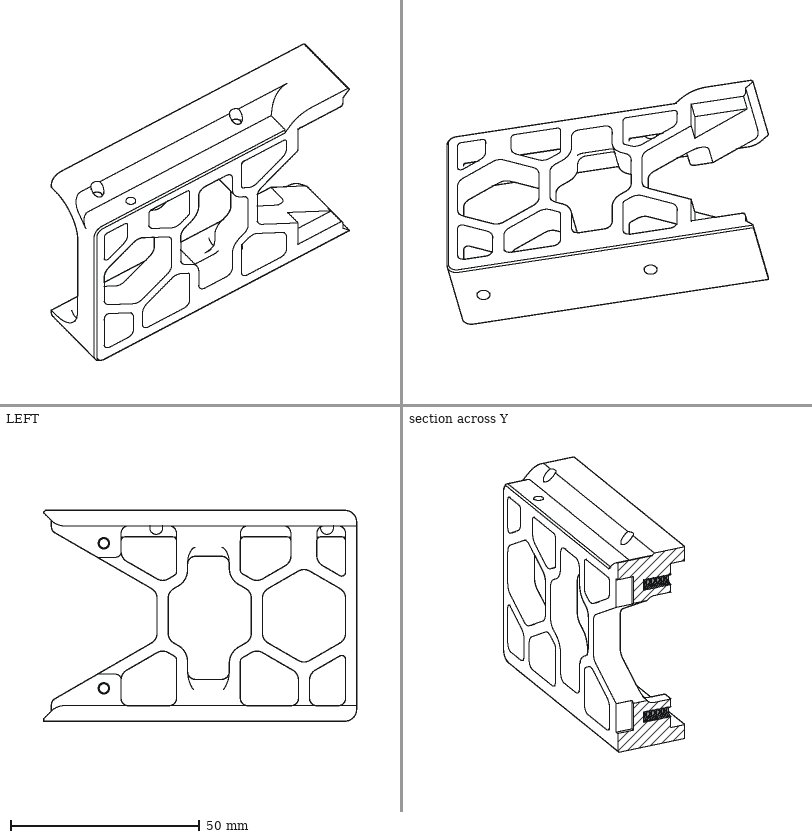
import cadquery as cq
import math

DEPTH = 20.0
LENGTH = 83.05
HALF_HEIGHT = 28.0
OVERSIZE = 5.0
PICK_MARGIN = 0.1

SLANT = math.sqrt(0.5)
HALF_ARC = math.radians(22.5)

FLANGE_INNER_Z = 23.83
WEB_X = 12.0
CHANNEL_RADIUS = 10.0
FRONT_EDGE_RADIUS = 3.2
BACK_CHAMFER = 0.5

TAIL_Y = 81.05
TAIL_RADIUS = 2.0
TIP_CURVE_RADIUS = 5.0
TOP_TIP_CHAMFER = 0.5

WALL = 3.0
HEX_FLATS = 22.0
HEX_PITCH = HEX_FLATS + WALL
HEX_CORNER_Z = HEX_FLATS / math.sqrt(3) / 2
HEX_RADIUS = 3.0
ROW_RISE = HEX_PITCH * math.sqrt(3) / 2
HEX_SLOPE = math.tan(math.radians(30))
FRONT_HEX_Y = WALL + HEX_FLATS / 2
MIDDLE_HEX_Y = FRONT_HEX_Y + HEX_PITCH
REAR_HEX_Y = MIDDLE_HEX_Y + HEX_PITCH
CELL_CORNER_RADIUS = 1.0
CELL_FLANGE_RADIUS = 1.9

SLOT_WIDTH = 11.0
SLOT_Y = 39.35
TOP_SLOT_END_Z = 15.75
BOTTOM_SLOT_END_Z = -16.85
SLOT_CORNER_RADIUS = 2.0
SLOT_NECK_RADIUS = 5.0
TOP_SLOT_RAMP_X = 13.4
BOTTOM_SLOT_RAMP_X = 13.0
SLOT_RAMP_START_X = 9.0
SLOT_RAMP_RADIUS = 2.5
SLOT_BACK_ANGLE = 30.0
FRAME_FRONT_Y = SLOT_Y - SLOT_WIDTH / 2 - WALL
FRAME_REAR_Y = SLOT_Y + SLOT_WIDTH / 2 + WALL

BOTTOM_RIB_YS = (FRONT_HEX_Y - WALL / 2, FRONT_HEX_Y + WALL / 2)
TOP_RIB_YS = (10.57, 17.5)

GROOVE_EDGE_X = 9.1
GROOVE_DEPTH = 4.0
GROOVE_REAR_Y = 70.6
GROOVE_RUNOUT_RADIUS = 10.0
GROOVE_FRONT_RADIUS = 2.6

ROOF_Z = 20.9
ROOF_X = 12.4

PAD_X = 4.13
PAD_FRONT_Y = 62.5
PAD_INNER_Z = 15.5
PAD_CORNER_RADIUS = 1.5
PAD_FILLET = 3.0
PAD_HOLE_Y = 67.1
PAD_HOLE_Z = 19.24
PAD_THREAD_MINOR = 2.46
PAD_THREAD_MAJOR = 3.0
PAD_THREAD_PITCH = 0.5
PAD_THREAD_TURNS = 16

BACK_STEP_X = 15.3
BACK_STEP_FRONT_Y = 66.3
BACK_STEP_HALF_HEIGHT = 22.3

SCREW_DIAMETER = 3.4
SCREW_X = 10.0
SCREW_YS = (7.9, 53.2)
PIN_DIAMETER = 2.6
PIN_X = 16.5
PIN_Y = 14.15
PIN_DEPTH = 8.0


def box(x0, x1, y0, y1, z0, z1):
    block = cq.Workplane("XY").box(x1 - x0, y1 - y0, z1 - z0, centered=False)
    return block.translate((x0, y0, z0))


def mirror_z(shape):
    return shape.mirror("XY")


def rounded_prism(corners, x0=-OVERSIZE, x1=DEPTH + OVERSIZE):
    """Extrude along X a polygon whose corners are (y, z, fillet radius)."""
    path = None
    for index, (y, z, radius) in enumerate(corners):
        here = cq.Vector(y, z)
        before = cq.Vector(*corners[index - 1][:2])
        after = cq.Vector(*corners[(index + 1) % len(corners)][:2])
        to_before = (before - here).normalized()
        to_after = (after - here).normalized()
        half_angle = to_before.getAngle(to_after) / 2
        setback = radius / math.tan(half_angle)
        start = (here + to_before * setback).toTuple()[:2]
        if path is None:
            path = cq.Workplane("YZ", origin=(x0, 0, 0)).moveTo(*start)
        else:
            path = path.lineTo(*start)
        if radius > 0:
            bisector = (to_before + to_after).normalized()
            middle = here + bisector * (radius / math.sin(half_angle) - radius)
            end = here + to_after * setback
            path = path.threePointArc(middle.toTuple()[:2], end.toTuple()[:2])
    return path.close().extrude(x1 - x0)


def outer_block():
    """Plain block with rounded front edges, spanning the overall size."""
    block = box(0, DEPTH, 0, LENGTH, -HALF_HEIGHT, HALF_HEIGHT)
    return block.edges("|X and <Y").fillet(FRONT_EDGE_RADIUS)


def groove():
    """Top groove: 45 degree side, curved runout at the rear and a rounded front edge."""
    floor_z = HALF_HEIGHT - GROOVE_DEPTH
    runout_y = GROOVE_REAR_Y - GROOVE_RUNOUT_RADIUS * SLANT
    runout_z = HALF_HEIGHT - GROOVE_RUNOUT_RADIUS * (1 - SLANT)
    runout_middle = (
        GROOVE_REAR_Y - GROOVE_RUNOUT_RADIUS * math.sin(HALF_ARC),
        HALF_HEIGHT - GROOVE_RUNOUT_RADIUS * (1 - math.cos(HALF_ARC)),
    )
    front_setback = GROOVE_FRONT_RADIUS * (1 - SLANT)
    profile = (
        cq.Workplane("YZ")
        .moveTo(GROOVE_REAR_Y, HALF_HEIGHT)
        .threePointArc(runout_middle, (runout_y, runout_z))
        .lineTo(runout_y - (runout_z - floor_z), floor_z)
        .lineTo(GROOVE_FRONT_RADIUS, floor_z)
        .threePointArc((front_setback, floor_z - front_setback), (0, floor_z - GROOVE_FRONT_RADIUS))
        .lineTo(-OVERSIZE, floor_z - GROOVE_FRONT_RADIUS)
        .lineTo(-OVERSIZE, HALF_HEIGHT + OVERSIZE)
        .lineTo(GROOVE_REAR_Y, HALF_HEIGHT + OVERSIZE)
        .close()
        .extrude(DEPTH + OVERSIZE)
    )
    reach = DEPTH + OVERSIZE - GROOVE_EDGE_X
    side = (
        cq.Workplane("XZ", origin=(0, LENGTH, 0))
        .moveTo(GROOVE_EDGE_X - OVERSIZE, HALF_HEIGHT + OVERSIZE)
        .lineTo(GROOVE_EDGE_X + reach, HALF_HEIGHT - reach)
        .lineTo(GROOVE_EDGE_X + reach, HALF_HEIGHT + OVERSIZE)
        .close()
        .extrude(LENGTH + OVERSIZE)
    )
    return profile.intersect(side)


def chamfer_back(body):
    """Bevel the back outline below the groove floor, leaving the top rear edge sharp."""
    limit_z = HALF_HEIGHT - GROOVE_DEPTH / 2
    below = cq.selectors.BoxSelector(
        (DEPTH - BACK_CHAMFER, -OVERSIZE, -HALF_HEIGHT - OVERSIZE),
        (DEPTH + BACK_CHAMFER, PAD_FRONT_Y - WALL, limit_z),
    )
    return body.faces(">X").edges(below).chamfer(BACK_CHAMFER)


def channel():
    """Space between the flanges, with large radii running into the web."""
    arc_x = WEB_X - CHANNEL_RADIUS
    arc_z = FLANGE_INNER_Z - CHANNEL_RADIUS
    arc_reach = CHANNEL_RADIUS * SLANT
    return (
        cq.Workplane("XZ", origin=(0, LENGTH + OVERSIZE, 0))
        .moveTo(-OVERSIZE, -FLANGE_INNER_Z)
        .lineTo(arc_x, -FLANGE_INNER_Z)
        .threePointArc((arc_x + arc_reach, -arc_z - arc_reach), (WEB_X, -arc_z))
        .lineTo(WEB_X, arc_z)
        .threePointArc((arc_x + arc_reach, arc_z + arc_reach), (arc_x, FLANGE_INNER_Z))
        .lineTo(-OVERSIZE, FLANGE_INNER_Z)
        .close()
        .extrude(LENGTH + 2 * OVERSIZE)
    )


def upper_pad():
    """Mounting pad standing on the web, with a fillet around its foot."""
    web = box(WEB_X, DEPTH - WALL, FRAME_REAR_Y, TAIL_Y + OVERSIZE, 0, FLANGE_INNER_Z)
    pad = box(PAD_X, WEB_X, PAD_FRONT_Y, TAIL_Y + OVERSIZE, PAD_INNER_Z, FLANGE_INNER_Z)
    pad = pad.edges("|X and <Y and <Z").fillet(PAD_CORNER_RADIUS)
    foot = cq.selectors.BoxSelector(
        (WEB_X - PICK_MARGIN, PAD_FRONT_Y - PICK_MARGIN, PAD_INNER_Z - PICK_MARGIN),
        (WEB_X + PICK_MARGIN, TAIL_Y + OVERSIZE - PICK_MARGIN, FLANGE_INNER_Z - PICK_MARGIN),
    )
    pad = web.union(pad).edges(foot).fillet(PAD_FILLET)
    flange_foot = box(
        PAD_X, WEB_X,
        PAD_FRONT_Y - CELL_FLANGE_RADIUS, PAD_FRONT_Y,
        FLANGE_INNER_Z - CELL_FLANGE_RADIUS, FLANGE_INNER_Z,
    )
    return pad.union(flange_foot)


def pad_clearance():
    """Flat-sided room in front of the pads, where the channel radii are cleared away."""
    return box(
        -OVERSIZE, PAD_X,
        PAD_FRONT_Y - CELL_FLANGE_RADIUS, LENGTH + OVERSIZE,
        -FLANGE_INNER_Z, FLANGE_INNER_Z,
    )


def back_step():
    """Step that thins both rear arms from the back."""
    return box(
        BACK_STEP_X, DEPTH + OVERSIZE,
        BACK_STEP_FRONT_Y, LENGTH + OVERSIZE,
        -BACK_STEP_HALF_HEIGHT, BACK_STEP_HALF_HEIGHT,
    )


def rear_opening():
    """V-shaped rear opening: a hexagon whose sloping sides run out to the tail."""
    front_y = REAR_HEX_Y - HEX_FLATS / 2
    tail_z = HEX_CORNER_Z + (TAIL_Y - front_y) * HEX_SLOPE
    tip_start_z = FLANGE_INNER_Z + TIP_CURVE_RADIUS * (1 - SLANT)
    tip_end_y = LENGTH + OVERSIZE
    tip_end_z = tip_start_z + tip_end_y - TAIL_Y
    upper = [
        (front_y, HEX_CORNER_Z, HEX_RADIUS),
        (TAIL_Y, tail_z, TAIL_RADIUS),
        (TAIL_Y, tip_start_z, 0),
        (tip_end_y, tip_end_z, 0),
    ]
    lower = [(y, -z, radius) for y, z, radius in reversed(upper)]
    return rounded_prism(upper + lower)


def upper_tip_curve():
    """Concave sliver that blends the flange's inner face into its 45 degree tip."""
    start_y = TAIL_Y - TIP_CURVE_RADIUS * SLANT
    end_z = FLANGE_INNER_Z + TIP_CURVE_RADIUS * (1 - SLANT)
    middle = (
        start_y + TIP_CURVE_RADIUS * math.sin(HALF_ARC),
        FLANGE_INNER_Z + TIP_CURVE_RADIUS * (1 - math.cos(HALF_ARC)),
    )
    return (
        cq.Workplane("YZ", origin=(-OVERSIZE, 0, 0))
        .moveTo(start_y, FLANGE_INNER_Z)
        .threePointArc(middle, (TAIL_Y, end_z))
        .lineTo(TAIL_Y, FLANGE_INNER_Z)
        .close()
        .extrude(PAD_X + OVERSIZE)
    )


def hexagon():
    """Front hexagon, with its flats facing along Y."""
    circumradius = 2 * HEX_CORNER_Z
    angles = [math.radians(30 + 60 * step) for step in range(6)]
    return rounded_prism([
        (FRONT_HEX_Y + circumradius * math.cos(angle), circumradius * math.sin(angle), HEX_RADIUS)
        for angle in angles
    ])


def slot_opening():
    """Middle hexagon widened into a tall slot through its top and bottom corners."""
    left = MIDDLE_HEX_Y - HEX_FLATS / 2
    right = MIDDLE_HEX_Y + HEX_FLATS / 2
    slot_left = SLOT_Y - SLOT_WIDTH / 2
    slot_right = SLOT_Y + SLOT_WIDTH / 2
    left_neck = HEX_CORNER_Z + (slot_left - left) * HEX_SLOPE
    right_neck = HEX_CORNER_Z + (right - slot_right) * HEX_SLOPE
    return rounded_prism([
        (left, -HEX_CORNER_Z, HEX_RADIUS),
        (left, HEX_CORNER_Z, HEX_RADIUS),
        (slot_left, left_neck, SLOT_NECK_RADIUS),
        (slot_left, TOP_SLOT_END_Z, SLOT_CORNER_RADIUS),
        (slot_right, TOP_SLOT_END_Z, SLOT_CORNER_RADIUS),
        (slot_right, right_neck, SLOT_NECK_RADIUS),
        (right, HEX_CORNER_Z, HEX_RADIUS),
        (right, -HEX_CORNER_Z, HEX_RADIUS),
        (slot_right, -right_neck, SLOT_NECK_RADIUS),
        (slot_right, BOTTOM_SLOT_END_Z, SLOT_CORNER_RADIUS),
        (slot_left, BOTTOM_SLOT_END_Z, SLOT_CORNER_RADIUS),
        (slot_left, -left_neck, SLOT_NECK_RADIUS),
    ])


def slot_ramps(end_z, ramp_x):
    """Ramps above z = end_z that flare the slot end toward the channel and the back."""
    reach = ramp_x - SLOT_RAMP_START_X
    setback = SLOT_RAMP_RADIUS * math.tan(HALF_ARC)
    crest_x = ramp_x + setback
    crest_start = (ramp_x - setback * SLANT, end_z + setback * SLANT)
    crest_middle = (
        crest_x - SLOT_RAMP_RADIUS * math.sin(HALF_ARC),
        end_z + SLOT_RAMP_RADIUS * (1 - math.cos(HALF_ARC)),
    )
    base_z = end_z - SLOT_CORNER_RADIUS
    back_x = DEPTH + OVERSIZE
    back_z = end_z + (back_x - crest_x) * math.tan(math.radians(SLOT_BACK_ANGLE))
    sketch = cq.Workplane("XZ", origin=(0, SLOT_Y + SLOT_WIDTH / 2, 0))
    front = (
        sketch.moveTo(crest_x, end_z)
        .threePointArc(crest_middle, crest_start)
        .lineTo(SLOT_RAMP_START_X, end_z + reach)
        .lineTo(SLOT_RAMP_START_X, base_z)
        .lineTo(crest_x, base_z)
        .close()
        .extrude(SLOT_WIDTH)
    )
    back = (
        sketch.moveTo(crest_x, end_z)
        .lineTo(back_x, back_z)
        .lineTo(back_x, base_z)
        .lineTo(crest_x, base_z)
        .close()
        .extrude(SLOT_WIDTH)
    )
    sloping = "(not |X) and (not |Y) and (not |Z)"
    front = front.edges(sloping).fillet(SLOT_CORNER_RADIUS)
    back = back.edges(sloping).fillet(SLOT_CORNER_RADIUS)
    return front.union(back)


def cell_profiles(rib_ys, flange_z, flange_radius):
    """Upper-row cells as lists of (y, z, radius) corners, from front to rear."""
    vertex_z = ROW_RISE - 2 * HEX_CORNER_Z

    def slope_z(y, vertex_y):
        return vertex_z + abs(y - vertex_y) * HEX_SLOPE

    def cell(front_y, rear_y, vertex_y, front_radius, rear_radius):
        return [
            (front_y, flange_z, flange_radius),
            (front_y, slope_z(front_y, vertex_y), front_radius),
            (vertex_y, vertex_z, HEX_RADIUS),
            (rear_y, slope_z(rear_y, vertex_y), rear_radius),
            (rear_y, flange_z, flange_radius),
        ]

    corner_vertex_y = FRONT_HEX_Y - HEX_PITCH / 2
    corner_cell = [
        (WALL, flange_z, flange_radius),
        (WALL, slope_z(WALL, corner_vertex_y), CELL_CORNER_RADIUS),
        (rib_ys[0], slope_z(rib_ys[0], corner_vertex_y), HEX_RADIUS),
        (rib_ys[0], flange_z, flange_radius),
    ]
    front_vertex_y = FRONT_HEX_Y + HEX_PITCH / 2
    rear_vertex_y = MIDDLE_HEX_Y + HEX_PITCH / 2
    return [
        corner_cell,
        cell(rib_ys[1], FRAME_FRONT_Y, front_vertex_y, HEX_RADIUS, CELL_CORNER_RADIUS),
        cell(FRAME_REAR_Y, PAD_FRONT_Y, rear_vertex_y, CELL_CORNER_RADIUS, HEX_RADIUS),
    ]


def below_roof():
    """Room under the 45 degree roof that carries the groove over the upper cells."""
    reach = FLANGE_INNER_Z - ROOF_Z
    return (
        cq.Workplane("XZ", origin=(0, LENGTH, 0))
        .moveTo(-OVERSIZE, 0)
        .lineTo(-OVERSIZE, FLANGE_INNER_Z)
        .lineTo(ROOF_X - reach, FLANGE_INNER_Z)
        .lineTo(ROOF_X, ROOF_Z)
        .lineTo(ROOF_X, 0)
        .close()
        .extrude(LENGTH)
    )


def pad_hole():
    """Blind threaded hole in the upper pad, its thread shown as ring grooves."""
    minor = PAD_THREAD_MINOR / 2
    major = PAD_THREAD_MAJOR / 2
    half_pitch = PAD_THREAD_PITCH / 2
    profile = cq.Workplane("XY").moveTo(0, 0).lineTo(0, major)
    for turn in range(PAD_THREAD_TURNS):
        root_x = turn * PAD_THREAD_PITCH
        profile = profile.lineTo(root_x + half_pitch, minor)
        profile = profile.lineTo(root_x + PAD_THREAD_PITCH, major)
    profile = profile.lineTo(PAD_THREAD_TURNS * PAD_THREAD_PITCH, 0).close()
    hole = profile.revolve(360, (0, 0, 0), (1, 0, 0))
    return hole.translate((PAD_X, PAD_HOLE_Y, PAD_HOLE_Z))


def vertical_hole(x, y, diameter, bottom_z, top_z):
    return cq.Workplane("XY", origin=(x, y, bottom_z)).circle(diameter / 2).extrude(top_z - bottom_z)


body = chamfer_back(outer_block().cut(groove()))
body = body.edges("|X and >Y and >Z").chamfer(TOP_TIP_CHAMFER)
body = body.cut(channel()).cut(pad_clearance())
pad = upper_pad()
body = body.union(pad).union(mirror_z(pad))

body = body.cut(back_step()).cut(rear_opening()).cut(hexagon()).cut(slot_opening())
body = body.cut(slot_ramps(TOP_SLOT_END_Z, TOP_SLOT_RAMP_X))
body = body.cut(mirror_z(slot_ramps(-BOTTOM_SLOT_END_Z, BOTTOM_SLOT_RAMP_X)))
for corners in cell_profiles(BOTTOM_RIB_YS, FLANGE_INNER_Z, CELL_FLANGE_RADIUS):
    body = body.cut(mirror_z(rounded_prism(corners)))
for corners in cell_profiles(TOP_RIB_YS, FLANGE_INNER_Z, CELL_FLANGE_RADIUS):
    body = body.cut(rounded_prism(corners).intersect(below_roof()))
for corners in cell_profiles(TOP_RIB_YS, ROOF_Z, CELL_CORNER_RADIUS):
    body = body.cut(rounded_prism(corners))

tip_curve = upper_tip_curve()
body = body.cut(tip_curve).cut(mirror_z(tip_curve))

for hole_y in SCREW_YS:
    body = body.cut(vertical_hole(SCREW_X, hole_y, SCREW_DIAMETER, -HALF_HEIGHT, HALF_HEIGHT))
groove_floor_z = HALF_HEIGHT - GROOVE_DEPTH
body = body.cut(vertical_hole(PIN_X, PIN_Y, PIN_DIAMETER, groove_floor_z - PIN_DEPTH, groove_floor_z))
body = body.cut(pad_hole()).cut(mirror_z(pad_hole()))

result = body.clean().solids()